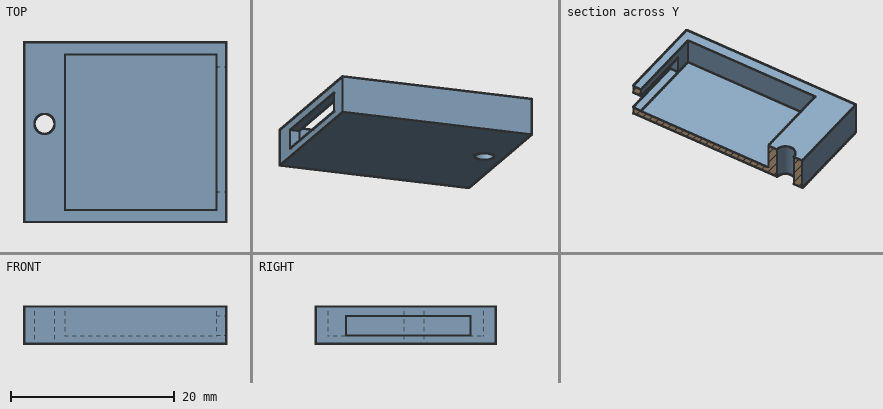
import cadquery as cq

length = 24.68
width = 22.0
height = 4.6

left_wall = 4.95
right_wall = 1.18
side_wall = 1.5
pocket_depth = 3.6
pocket_length = length - left_wall - right_wall
pocket_width = width - 2 * side_wall
floor_thickness = height - pocket_depth

hole_diameter = 2.42
hole_x = left_wall / 2
hole_y = width / 2 + 1.0

window_width = 15.23
window_height = 2.4
sill_step = 0.05
window_back_margin = 1.55
window_y = width - side_wall - window_back_margin - window_width
window_z = floor_thickness + sill_step


def corner_box(size_x, size_y, size_z, corner):
    """Box grown from its lowest X, Y and Z corner."""
    return cq.Workplane("XY").box(size_x, size_y, size_z, centered=False).translate(corner)


block = corner_box(length, width, height, (0, 0, 0))

pocket = corner_box(
    pocket_length, pocket_width, pocket_depth, (left_wall, side_wall, floor_thickness)
)

window = corner_box(
    right_wall, window_width, window_height, (length - right_wall, window_y, window_z)
)

hole = cq.Workplane("XY").center(hole_x, hole_y).circle(hole_diameter / 2).extrude(height)

result = block.cut(pocket).cut(window).cut(hole)